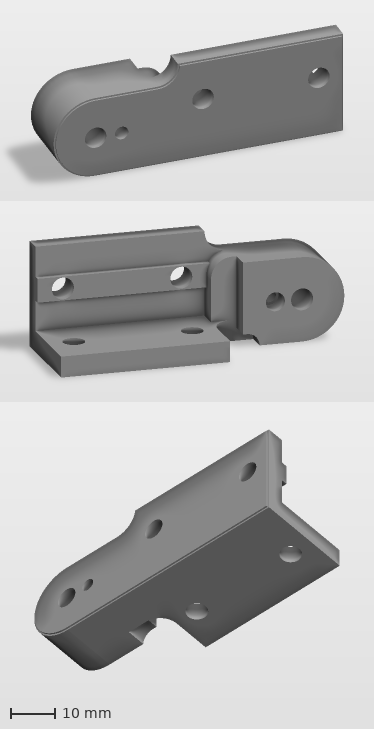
import cadquery as cq

length = 70.0
width = 25.0
height = 25.0

thickness = 5.0
leaf_start = 30.0
corner_radius = 5.0
rail_depth = 1.55
rail_height = 5.7

barrel_radius = 10.0
barrel_face_x = 10.0
neck_face_x = 15.0
barrel_end = 23.95
relief_center_y = 22.95
relief_radius = 2.95

border = 0.4

bolt_diameter = 5.2
bolt_edge_distance = 6.0
bolt_spacing = 28.0
wall_bolt_z = 15.0
plate_bolt_x = 10.0
pin_diameter = 3.2
pin_counterbore_diameter = 4.5
pin_counterbore_depth = 5.0
pin_y = 16.3

barrel_height = 2 * barrel_radius
neck_end = leaf_start - corner_radius
wall_face_x = width - thickness
bolt_positions = [length - bolt_edge_distance - i * bolt_spacing for i in range(2)]


def side_plane(x):
    """Plane facing +X whose local coordinates are Y and Z."""
    return cq.Workplane("YZ", origin=(x, 0, 0))


def rod_along_x(y, z, diameter, start=0.0, depth=width):
    return side_plane(start).center(y, z).circle(diameter / 2).extrude(depth)


def make_wall():
    """Full-length side wall with a round hinge tip and a concave step down to it."""
    arc_offset = barrel_radius / 2**0.5
    step_offset = corner_radius / 2**0.5
    outline = (
        side_plane(wall_face_x)
        .moveTo(barrel_radius, 0)
        .lineTo(length, 0)
        .lineTo(length, height)
        .lineTo(leaf_start, height)
        .threePointArc((neck_end + step_offset, height - step_offset), (neck_end, height - corner_radius))
        .lineTo(barrel_radius, barrel_height)
        .threePointArc((0, barrel_radius), (barrel_radius, 0))
        .close()
    )
    wall = outline.extrude(thickness - border)
    raised_face = wall.faces(">X").wires().toPending().offset2D(-border).extrude(border)
    return wall.union(raised_face)


def make_plate():
    """Base plate with a concave corner running into the neck."""
    plate = cq.Workplane("XY").box(
        width - border, length - neck_end, thickness, centered=False
    ).translate((0, neck_end, 0))
    strip = cq.Workplane("XY").box(
        neck_face_x - corner_radius, corner_radius, thickness, centered=False
    ).translate((0, neck_end, 0))
    corner = (
        cq.Workplane("XY", origin=(neck_face_x - corner_radius, neck_end, 0))
        .circle(corner_radius)
        .extrude(thickness)
    )
    return plate.cut(strip).cut(corner)


def make_rail():
    return (
        side_plane(wall_face_x - rail_depth)
        .center((neck_end + length) / 2, wall_bolt_z)
        .rect(length - neck_end, rail_height)
        .extrude(rail_depth)
    )


def make_barrel():
    """Thick hinge knuckle, relieved at its lower rear corner."""
    barrel = rod_along_x(
        barrel_radius, barrel_radius, barrel_height, barrel_face_x, wall_face_x - barrel_face_x
    )
    block = (
        side_plane(barrel_face_x)
        .center((barrel_radius + barrel_end) / 2, barrel_radius)
        .rect(barrel_end - barrel_radius, barrel_height)
        .extrude(wall_face_x - barrel_face_x)
    )
    relief_depth = neck_face_x - barrel_face_x
    relief = rod_along_x(relief_center_y, 0, 2 * relief_radius, barrel_face_x, relief_depth).union(
        side_plane(barrel_face_x)
        .moveTo(relief_center_y, 0)
        .lineTo(barrel_end, 0)
        .lineTo(barrel_end, relief_radius)
        .lineTo(relief_center_y, relief_radius)
        .close()
        .extrude(relief_depth)
    )
    return barrel.union(block).cut(relief)


def make_neck():
    """Set-back block joining the knuckle to the wall, rounded at its upper rear edge."""
    return (
        side_plane(neck_face_x)
        .center((barrel_radius + leaf_start) / 2, barrel_radius)
        .rect(leaf_start - barrel_radius, barrel_height)
        .extrude(wall_face_x - neck_face_x)
        .edges("|X and >Y and >Z")
        .fillet(corner_radius)
    )


result = make_wall().union(make_plate()).union(make_barrel()).union(make_neck()).union(make_rail())

for bolt_y in bolt_positions:
    plate_hole = cq.Workplane("XY").center(plate_bolt_x, bolt_y).circle(bolt_diameter / 2).extrude(thickness)
    result = result.cut(rod_along_x(bolt_y, wall_bolt_z, bolt_diameter)).cut(plate_hole)

result = result.cut(rod_along_x(barrel_radius, barrel_radius, bolt_diameter))
result = result.cut(rod_along_x(pin_y, barrel_radius, pin_diameter))
result = result.cut(
    rod_along_x(pin_y, barrel_radius, pin_counterbore_diameter, barrel_face_x, pin_counterbore_depth)
)